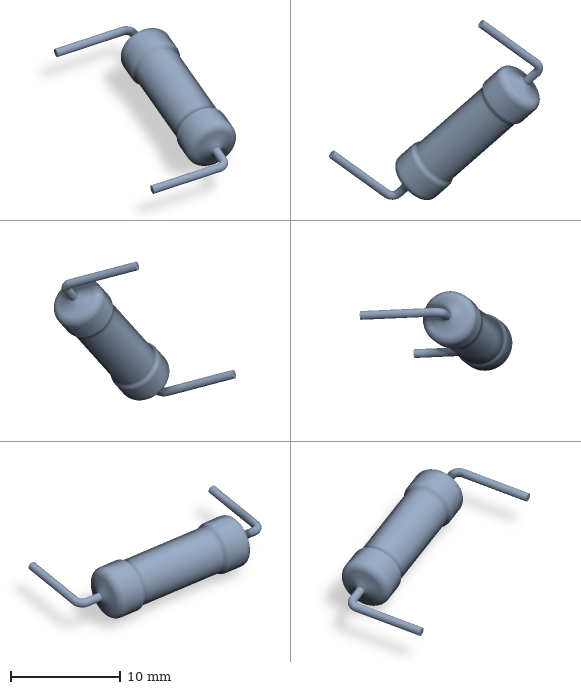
import cadquery as cq
import math

lead_pitch = 20.32
lead_radius = 0.4
bend_radius = 0.76
lead_drop = 7.54

body_length = 16.0
barrel_radius = 2.25
cap_radius = 2.5
cap_width = 3.05
shoulder_fillet = 0.5

corner_radius = 0.75
corner_start = 1.21
face_slope = math.radians(10)
neck_outer_radius = 1.55

half_body = body_length / 2
half_pitch = lead_pitch / 2

half_step = (cap_radius - barrel_radius) / 2
shoulder_angle = math.acos(1 - half_step / shoulder_fillet)
half_shoulder = shoulder_fillet * math.sin(shoulder_angle)
cap_inner = half_body - cap_width
barrel_end = cap_inner - 2 * half_shoulder


def arc_point(center, radius, angle):
    """Point on a circle at an angle measured from +X."""
    return (center[0] + radius * math.cos(angle), center[1] + radius * math.sin(angle))


def make_barrel():
    """Plain cylinder between the shoulders of the two end caps."""
    return cq.Workplane("YZ", origin=(-barrel_end, 0, 0)).circle(barrel_radius).extrude(2 * barrel_end)


def make_end_cap():
    """Turned end cap on the +X side, from the foot of its shoulder to the lead."""
    concave_center = (barrel_end, barrel_radius + shoulder_fillet)
    convex_center = (cap_inner, cap_radius - shoulder_fillet)
    concave_mid = arc_point(concave_center, shoulder_fillet, shoulder_angle / 2 - math.pi / 2)
    convex_mid = arc_point(convex_center, shoulder_fillet, shoulder_angle / 2 + math.pi / 2)
    shoulder_mid = (cap_inner - half_shoulder, cap_radius - half_step)

    corner_center = (half_body - corner_start, cap_radius - corner_radius)
    corner_top = (corner_center[0], cap_radius)
    corner_mid = arc_point(corner_center, corner_radius, (face_slope + math.pi / 2) / 2)
    corner_end = arc_point(corner_center, corner_radius, face_slope)

    face_drop = corner_end[1] - neck_outer_radius
    neck_start = (corner_end[0] + face_drop * math.tan(face_slope), neck_outer_radius)
    neck_end = (half_body, lead_radius)

    return (
        cq.Workplane("XY")
        .moveTo(barrel_end, 0)
        .lineTo(barrel_end, barrel_radius)
        .threePointArc(concave_mid, shoulder_mid)
        .threePointArc(convex_mid, (cap_inner, cap_radius))
        .lineTo(*corner_top)
        .threePointArc(corner_mid, corner_end)
        .lineTo(*neck_start)
        .tangentArcPoint(neck_end, relative=False)
        .lineTo(half_body, 0)
        .close()
        .revolve(360, (0, 0, 0), (1, 0, 0))
    )


def make_lead():
    """Bent wire on the +X side, rooted inside the end cap."""
    bend_mid = arc_point((half_pitch - bend_radius, -bend_radius), bend_radius, math.pi / 4)
    path = (
        cq.Workplane("XY")
        .moveTo(cap_inner, 0)
        .lineTo(half_pitch - bend_radius, 0)
        .threePointArc(bend_mid, (half_pitch, -bend_radius))
        .lineTo(half_pitch, -lead_drop)
    )
    return cq.Workplane("YZ", origin=(cap_inner, 0, 0)).circle(lead_radius).sweep(path)


capped_lead = make_end_cap().union(make_lead())
result = make_barrel().union(capped_lead).union(capped_lead.mirror("YZ"))